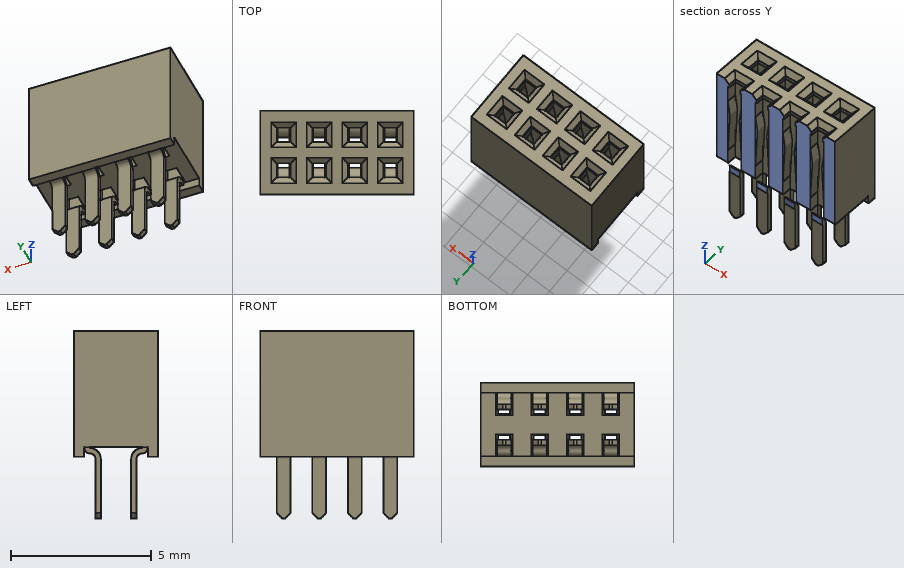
import cadquery as cq
import math

columns = 4
pitch = 1.27
housing_length = 5.48
housing_width = 3.0
housing_height = 4.5
channel_width = 2.27
channel_depth = 0.35

funnel_mouth = 0.9
entry_size = 0.5
funnel_depth = (funnel_mouth - entry_size) / 2
lip_thickness = 0.15
lip_bottom = housing_height - funnel_depth - lip_thickness

sheet = 0.2
leg_width = 0.5
leg_bottom = -2.2
tip_width = 0.1
tip_height = (leg_width - tip_width) / 2
lower_bend_inner = 0.2
lower_bend_outer = lower_bend_inner + sheet
lower_bend_z = -0.08

foot_top = lower_bend_z + lower_bend_outer
foot_bottom = foot_top - sheet
bend_y = sheet / 2 + lower_bend_inner
plate_inner_y = bend_y
plate_outer_y = bend_y + sheet

chamber_half = plate_inner_y
chamber_bottom = channel_depth

jaw_gap = 0.41
jaw_bottom_z = 1.0
jaw_squeeze_z = 2.8
jaw_top_z = 3.45

leg_y = pitch / 2
column_xs = [(i - (columns - 1) / 2) * pitch for i in range(columns)]


def place(shape, x, side):
    """Move a shape built for the +Y row to column x of the row on the given side (+1 or -1)."""
    if side < 0:
        shape = shape.rotate((0, 0, 0), (0, 0, 1), 180)
    return shape.translate((x, side * leg_y, 0))


def make_funnel():
    """Square funnel that narrows at 45 degrees to the entry hole."""
    return (
        cq.Workplane("XY")
        .workplane(offset=housing_height)
        .rect(funnel_mouth, funnel_mouth)
        .workplane(offset=-funnel_depth)
        .rect(entry_size, entry_size)
        .loft(ruled=True)
    )


def make_socket():
    """Everything cut from the housing for one contact: funnel, entry hole and chamber."""
    entry = cq.Workplane("XY").box(
        entry_size, entry_size, housing_height - funnel_depth, centered=(True, True, False)
    )
    chamber = (
        cq.Workplane("XY")
        .box(
            2 * chamber_half,
            chamber_half + plate_outer_y,
            lip_bottom - chamber_bottom,
            centered=(True, False, False),
        )
        .translate((0, -chamber_half, chamber_bottom))
    )
    return make_funnel().union(entry).union(chamber)


def make_housing():
    body = cq.Workplane("XY").box(
        housing_length, housing_width, housing_height, centered=(True, True, False)
    )
    channel = cq.Workplane("XY").box(
        housing_length, channel_width, channel_depth, centered=(True, True, False)
    )
    body = body.cut(channel)
    socket = make_socket()
    for x in column_xs:
        for side in (-1, 1):
            body = body.cut(place(socket, x, side))
    return body


def make_leg():
    """Straight leg with a pointed tip, and the S-bend that carries it out to the back plate."""
    leg_inner = -sheet / 2
    leg_outer = sheet / 2
    diagonal = math.sqrt(0.5)
    strip = (
        cq.Workplane("YZ")
        .moveTo(leg_inner, leg_bottom)
        .lineTo(leg_inner, lower_bend_z)
        .threePointArc(
            (bend_y - lower_bend_outer * diagonal, lower_bend_z + lower_bend_outer * diagonal),
            (bend_y, foot_top),
        )
        .lineTo(plate_outer_y, foot_top)
        .threePointArc(
            (bend_y + sheet * diagonal, foot_top - sheet * diagonal),
            (bend_y, foot_bottom),
        )
        .threePointArc(
            (bend_y - lower_bend_inner * diagonal, lower_bend_z + lower_bend_inner * diagonal),
            (leg_outer, lower_bend_z),
        )
        .lineTo(leg_outer, leg_bottom)
        .close()
        .extrude(leg_width / 2, both=True)
    )
    return strip.edges("|Y").edges("<Z").chamfer(tip_height)


def make_jaw():
    """Spring jaw at +X: a shallow ridge along Y that joins the back plate at its outer end."""
    return (
        cq.Workplane("XZ")
        .moveTo(chamber_half, jaw_bottom_z)
        .lineTo(chamber_half, jaw_top_z)
        .lineTo(jaw_gap / 2, jaw_squeeze_z)
        .close()
        .extrude(chamber_half + plate_inner_y)
        .translate((0, plate_inner_y, 0))
    )


def make_contact():
    back_plate = (
        cq.Workplane("XY")
        .box(2 * chamber_half, sheet, lip_bottom - chamber_bottom, centered=(True, False, False))
        .translate((0, plate_inner_y, chamber_bottom))
    )
    stem = (
        cq.Workplane("XY")
        .box(leg_width, sheet, chamber_bottom - foot_top, centered=(True, False, False))
        .translate((0, plate_inner_y, foot_top))
    )
    jaw = make_jaw()
    return make_leg().union(stem).union(back_plate).union(jaw).union(jaw.mirror("YZ"))


housing = make_housing()
contact = make_contact()
contacts = [place(contact, x, side) for x in column_xs for side in (-1, 1)]

result = cq.Compound.makeCompound([housing.val(), *[c.val() for c in contacts]])